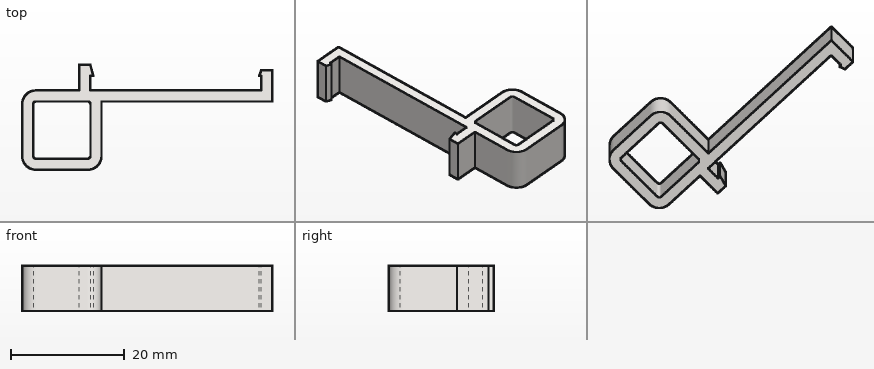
import cadquery as cq

length = 44.0
depth = 18.5
height = 8.0

wall = 2.0
opening = 10.05
inner_radius = 0.5
outer_radius = inner_radius + wall
sleeve = opening + 2 * wall

near_hook_end = wall + opening
far_hook_end = length - wall
far_hook_drop = 0.95
barb_base = depth - wall
near_barb_reach = 0.55
far_barb_reach = 0.4


def block(x_start, x_end, y_start, y_end):
    """Full-height block between the given X and Y limits."""
    return cq.Workplane("XY").box(
        x_end - x_start, y_end - y_start, height, centered=False
    ).translate((x_start, y_start, 0))


def hook(face_x, top_y, direction, barb_reach):
    """Upright post whose barbed face looks along +X (direction 1) or -X (-1)."""
    back_x = face_x - direction * wall
    return (
        cq.Workplane("XY")
        .moveTo(back_x, sleeve - wall)
        .lineTo(back_x, top_y)
        .lineTo(face_x, top_y)
        .lineTo(face_x + direction * barb_reach, barb_base)
        .lineTo(face_x, barb_base)
        .lineTo(face_x, sleeve - wall)
        .close()
        .extrude(height)
    )


body = block(0, sleeve, 0, sleeve).edges("|Z").fillet(outer_radius)

arm = block(sleeve - outer_radius, length, sleeve - wall, sleeve)

arm_corner = block(sleeve - wall, sleeve, sleeve - outer_radius, sleeve)

bore = block(wall, wall + opening, wall, wall + opening).edges("|Z").fillet(inner_radius)

near_hook = hook(near_hook_end, depth, 1, near_barb_reach)
far_hook = hook(far_hook_end, depth - far_hook_drop, -1, far_barb_reach)

result = body.union(arm).union(arm_corner).union(near_hook).union(far_hook).cut(bore).clean()